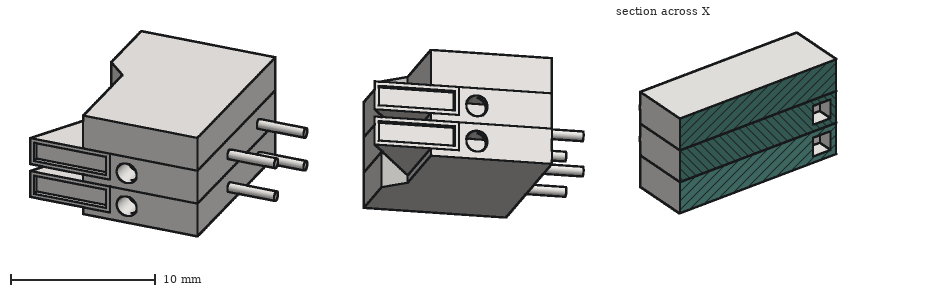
import cadquery as cq


OVERALL_LENGTH = 16.1
DEPTH = 13.5
STACK_HEIGHT = 7.62
POLE_COUNT = 2
LAYER_HEIGHT = STACK_HEIGHT / (POLE_COUNT + 1)

PIN_DIAMETER = 0.7
PIN_LENGTH = 3.51
PIN_SPACING = 5.09
REAR_PIN_INSET = 2.9
REAR_PIN_Y = DEPTH - REAR_PIN_INSET
PIN_POSITIONS_Y = [REAR_PIN_Y, REAR_PIN_Y - PIN_SPACING]

LEVER_OVERHANG = 2.5
HOUSING_LENGTH = OVERALL_LENGTH - LEVER_OVERHANG - PIN_LENGTH
NOTCH_DEPTH = 1.5
NOTCH_WIDTH = 6.8

LEVER_WIDTH = 6.0
LEVER_HEIGHT = 2.01
LEVER_RIM = 0.3
LEVER_POCKET_DEPTH = 0.4

WIRE_HOLE_DIAMETER = 1.5
WIRE_HOLE_X = 4.77
WIRE_HOLE_DEPTH = 2.0
CAVITY_HEIGHT = 1.47
CAVITY_LENGTH = 2.0
CAVITY_START = 0.52


def layer_block(base_z):
    """One housing layer with the notch along the front of its left side."""
    outline = [
        (NOTCH_DEPTH, 0),
        (HOUSING_LENGTH, 0),
        (HOUSING_LENGTH, DEPTH),
        (0, DEPTH),
        (0, NOTCH_WIDTH + NOTCH_DEPTH),
        (NOTCH_DEPTH, NOTCH_WIDTH),
    ]
    return cq.Workplane("XY", origin=(0, 0, base_z)).polyline(outline).close().extrude(LAYER_HEIGHT)


def lever_wedge(base_z):
    """Plain triangular lever, flush with the top of its pole and pointed at the notch corner."""
    outline = [
        (-LEVER_OVERHANG, 0),
        (LEVER_WIDTH - LEVER_OVERHANG, 0),
        (NOTCH_DEPTH, NOTCH_WIDTH),
    ]
    lever_z = base_z + LAYER_HEIGHT - LEVER_HEIGHT
    return cq.Workplane("XY", origin=(0, 0, lever_z)).polyline(outline).close().extrude(LEVER_HEIGHT)


def make_lever(base_z):
    """Lever with a shallow rectangular pocket in its front face."""
    pocket_center = (
        LEVER_WIDTH / 2 - LEVER_OVERHANG,
        0,
        base_z + LAYER_HEIGHT - LEVER_HEIGHT / 2,
    )
    pocket = (
        cq.Workplane("XZ", origin=pocket_center)
        .rect(LEVER_WIDTH - 2 * LEVER_RIM, LEVER_HEIGHT - 2 * LEVER_RIM)
        .extrude(-LEVER_POCKET_DEPTH)
    )
    return lever_wedge(base_z).cut(pocket)


def wire_entry(center_z):
    """Void of the wire entry: the round hole and the cavity that runs from its axis toward +X."""
    hole = (
        cq.Workplane("XZ", origin=(WIRE_HOLE_X, 0, center_z))
        .circle(WIRE_HOLE_DIAMETER / 2)
        .extrude(-WIRE_HOLE_DEPTH)
    )
    cavity = cq.Workplane("XY", origin=(WIRE_HOLE_X, CAVITY_START, center_z)).box(
        CAVITY_LENGTH,
        WIRE_HOLE_DEPTH - CAVITY_START,
        CAVITY_HEIGHT,
        centered=(False, False, True),
    )
    return hole.union(cavity)


def solder_pins(center_z):
    """The two round pins that stand out from the +X face of a pole."""
    return (
        cq.Workplane("YZ", origin=(HOUSING_LENGTH, 0, center_z))
        .pushPoints([(pin_y, 0) for pin_y in PIN_POSITIONS_Y])
        .circle(PIN_DIAMETER / 2)
        .extrude(PIN_LENGTH)
    )


def make_pole(base_z):
    """Pole housing with its lever recess, wire entry and pins."""
    center_z = base_z + LAYER_HEIGHT / 2
    return (
        layer_block(base_z)
        .cut(lever_wedge(base_z))
        .cut(wire_entry(center_z))
        .union(solder_pins(center_z))
    )


poles = []
levers = []
for index in range(POLE_COUNT):
    pole_z = index * LAYER_HEIGHT
    poles.append(make_pole(pole_z).val())
    levers.append(make_lever(pole_z).val())

end_plate = layer_block(POLE_COUNT * LAYER_HEIGHT)

result = cq.Compound.makeCompound([*poles, *levers, end_plate.val()])